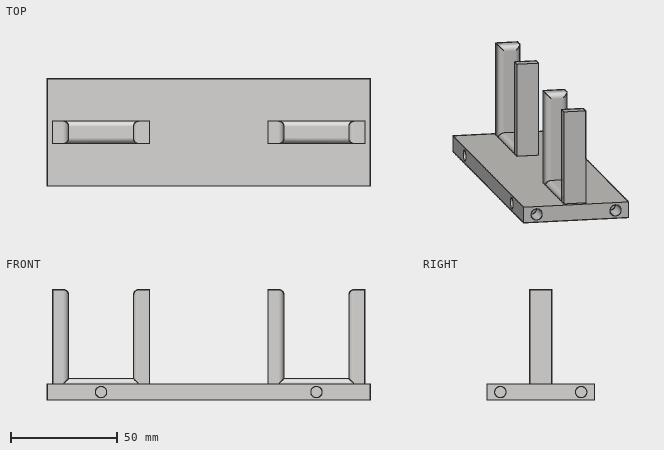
import cadquery as cq

plate_length = 152.4
plate_width = 50.7
plate_thickness = 7.6
total_height = 52.1

bracket_length = 45.7
bracket_width = 10.5
bracket_end_gap = 2.6
post_thickness = 7.6
edge_radius = 2.6
web_height = edge_radius

hole_diameter = 5.3
hole_depth = 12.2
end_hole_spacing = 38.1

bracket_x = plate_length / 2 - bracket_end_gap - bracket_length / 2
hole_z = plate_thickness / 2


def make_bracket(center_x):
    """Two posts joined by a low web, with the inner edges rounded."""
    channel_length = bracket_length - 2 * post_thickness
    channel_floor = plate_thickness + web_height
    root_z = plate_thickness / 2
    body = cq.Workplane("XY", origin=(0, 0, root_z)).box(
        bracket_length, bracket_width, total_height - root_z, centered=(True, True, False)
    )
    channel = cq.Workplane("XY", origin=(0, 0, channel_floor)).box(
        channel_length, bracket_width, total_height - channel_floor, centered=(True, True, False)
    )
    bracket = body.cut(channel)
    channel_region = cq.selectors.BoxSelector(
        (-channel_length / 2 - edge_radius / 2, -bracket_width, channel_floor - edge_radius / 2),
        (channel_length / 2 + edge_radius / 2, bracket_width, total_height + edge_radius),
    )
    inner_corners = cq.selectors.BoxSelector(
        (-bracket_length, -bracket_width / 4, channel_floor - edge_radius / 2),
        (bracket_length, bracket_width / 4, channel_floor + edge_radius / 2),
    )
    bracket = bracket.edges(channel_region - inner_corners).fillet(edge_radius)
    return bracket.translate((center_x, 0, 0))


def blind_hole(start, direction):
    """Cylinder running from a plate edge into the plate."""
    return cq.Workplane(cq.Solid.makeCylinder(
        hole_diameter / 2, hole_depth, cq.Vector(*start), cq.Vector(*direction)
    ))


result = cq.Workplane("XY").box(
    plate_length, plate_width, plate_thickness, centered=(True, True, False)
)

for side in (-1, 1):
    result = result.union(make_bracket(side * bracket_x))

for side in (-1, 1):
    for offset in (-1, 1):
        end_start = (side * plate_length / 2, offset * end_hole_spacing / 2, hole_z)
        result = result.cut(blind_hole(end_start, (-side, 0, 0)))
        edge_start = (offset * bracket_x, side * plate_width / 2, hole_z)
        result = result.cut(blind_hole(edge_start, (0, -side, 0)))